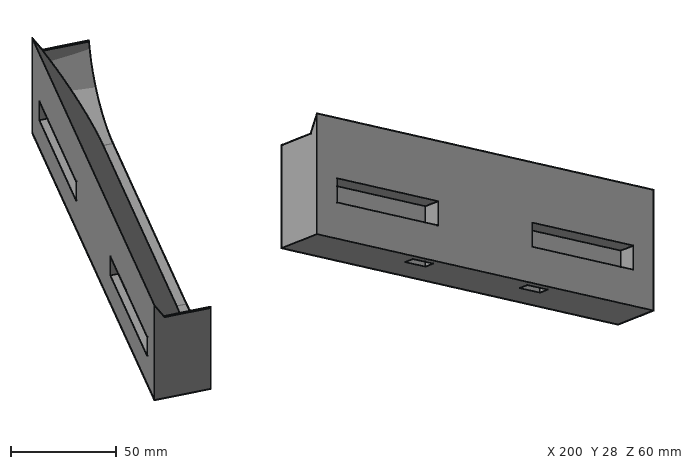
import cadquery as cq
import math

length = 200.0
depth = 28.0
height = 60.0
wall_height = 51.2

scoop_radius = 40.0
floor_height = height - scoop_radius
slope_angle = 60.0

slot_length = 60.0
slot_height = 12.0
slot_bottom = 18.0
slot_spacing = 116.0
slot_depth = 10.0

shaft_length = 12.0
shaft_width = 6.0


def front_wedge():
    """Sloping front wall with a sharp upper edge, running the full length."""
    foot = scoop_radius / math.tan(math.radians(slope_angle))
    return (
        cq.Workplane("YZ")
        .polyline([(0, 0), (foot, 0), (foot, floor_height), (0, height)])
        .close()
        .extrude(length)
    )


def scooped_tray():
    """Floor that curves up into a thin wall at each end."""
    rise = height - wall_height
    reach = math.sqrt(scoop_radius**2 - rise**2)
    wall_top = scoop_radius - reach
    diagonal = scoop_radius * math.sqrt(0.5)
    return (
        cq.Workplane("XZ")
        .moveTo(0, 0)
        .lineTo(length, 0)
        .lineTo(length, wall_height)
        .lineTo(length - wall_top, wall_height)
        .threePointArc(
            (length - scoop_radius + diagonal, height - diagonal),
            (length - scoop_radius, floor_height),
        )
        .lineTo(scoop_radius, floor_height)
        .threePointArc((scoop_radius - diagonal, height - diagonal), (wall_top, wall_height))
        .lineTo(0, wall_height)
        .close()
        .extrude(-depth)
    )


def slot():
    """Blind slot near the left end, with a shaft down from its inner, rear corner."""
    left_end = (length - slot_spacing - slot_length) / 2
    recess = cq.Workplane().box(slot_length, slot_depth, slot_height, centered=False)
    recess = recess.translate((left_end, 0, slot_bottom))
    shaft = cq.Workplane().box(shaft_length, shaft_width, slot_bottom, centered=False)
    shaft = shaft.translate((left_end + slot_length - shaft_length, slot_depth - shaft_width, 0))
    return recess.union(shaft)


left_slot = slot()
right_slot = left_slot.mirror("YZ", (length / 2, 0, 0))
result = scooped_tray().union(front_wedge()).cut(left_slot).cut(right_slot)